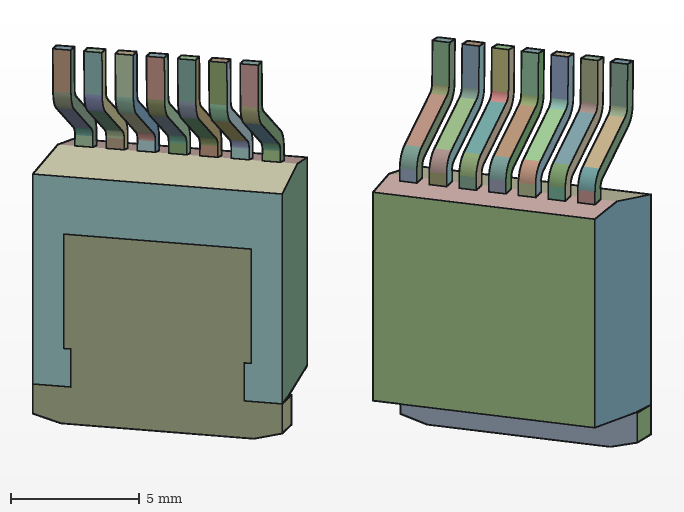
import cadquery as cq
import math

overall_width = 10.1
overall_height = 15.24
half_width = overall_width / 2

housing_depth = 4.66
draft = math.tan(math.radians(4))
top_front_height = 10.01
top_ridge_height = 10.44
top_rear_height = 10.18
ridge_y = 2.83

tab_thickness = 1.31
flange_top = 1.51
flange_corner_height = 0.3
flange_bottom_half_width = 3.9
neck_half_width = 3.5
neck_top = 3.05
pad_half_width = 3.8
pad_top = 7.68

lead_count = 7
lead_pitch = 1.26
lead_width = 0.73
lead_thickness = 0.53
lower_bend_height = 11.13
upper_bend_height = 12.97
upper_bend_y = -0.25
tip_y = -0.29
inner_bend_radius = 0.43
outer_bend_radius = inner_bend_radius + lead_thickness


def make_tab():
    right_side = [
        (flange_bottom_half_width, 0),
        (half_width, flange_corner_height),
        (half_width, flange_top),
        (neck_half_width, flange_top),
        (neck_half_width, neck_top),
        (pad_half_width, neck_top),
        (pad_half_width, pad_top),
    ]
    left_side = [(-x, z) for x, z in reversed(right_side)]
    return cq.Workplane("XZ").polyline(right_side + left_side).close().extrude(-tab_thickness)


def make_housing_block():
    bottom_rear_height = flange_top + draft * (housing_depth - tab_thickness)
    side_profile = [
        (0, flange_top),
        (tab_thickness, flange_top),
        (housing_depth, bottom_rear_height),
        (housing_depth, top_rear_height),
        (ridge_y, top_ridge_height),
        (0, top_front_height),
    ]
    block = cq.Workplane("YZ").polyline(side_profile).close().extrude(half_width, both=True)

    rear_half_width = half_width - draft * housing_depth
    plan_outline = [
        (-half_width, 0),
        (half_width, 0),
        (rear_half_width, housing_depth),
        (-rear_half_width, housing_depth),
    ]
    drafted_sides = cq.Workplane("XY").polyline(plan_outline).close().extrude(overall_height)
    return block.intersect(drafted_sides)


def make_lead(x_centre):
    bend_angle = math.atan2(ridge_y - upper_bend_y, upper_bend_height - lower_bend_height)
    bend_offset = lead_thickness * math.tan(bend_angle / 2)

    base_rear_y = ridge_y + lead_thickness
    rear_slope = (top_ridge_height - top_rear_height) / (housing_depth - ridge_y)
    base_rear_height = top_ridge_height - rear_slope * lead_thickness

    lower_front = (ridge_y, lower_bend_height)
    upper_front = (upper_bend_y, upper_bend_height)
    lower_rear = (base_rear_y, lower_bend_height + bend_offset)
    upper_rear = (upper_bend_y + lead_thickness, upper_bend_height + bend_offset)
    outline = [
        (ridge_y, top_ridge_height),
        lower_front,
        upper_front,
        (tip_y, overall_height),
        (tip_y + lead_thickness, overall_height),
        upper_rear,
        lower_rear,
        (base_rear_y, base_rear_height),
    ]
    left_face = cq.Workplane("YZ", origin=(x_centre - lead_width / 2, 0, 0))
    lead = left_face.polyline(outline).close().extrude(lead_width)

    bends = [
        (lower_front, inner_bend_radius),
        (upper_front, outer_bend_radius),
        (upper_rear, inner_bend_radius),
        (lower_rear, outer_bend_radius),
    ]
    for (y, z), radius in bends:
        corner = cq.selectors.NearestToPointSelector((x_centre, y, z))
        lead = lead.edges("|X").edges(corner).fillet(radius)
    return lead


tab = make_tab()
housing = make_housing_block().cut(tab)
leads = []
for index in range(lead_count):
    lead_x = (index - (lead_count - 1) / 2) * lead_pitch
    leads.append(make_lead(lead_x))

result = cq.Compound.makeCompound([housing.val(), tab.val(), *[lead.val() for lead in leads]])